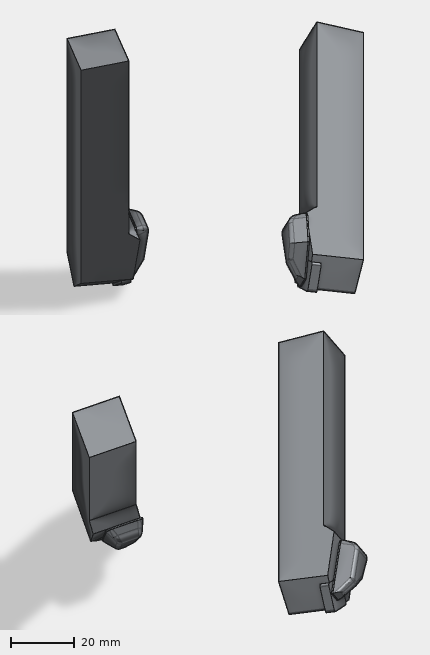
import cadquery as cq
import math

overall_height = 101.4
shank_size = 15.8
neck_top_z = 28.1
neck_bottom_z = 24.6

head_tilt = 8.0
tip_y = 16.0
nose_setback = 0.8
nose_radius = 0.6

insert_side = 9.5
insert_thickness = 3.1
insert_corner_radius = 0.8

clamp_skirt_height = 0.5
clamp_height = 5.6
clamp_front = 4.3
clamp_foot_back = 25.1
clamp_foot = [
    (-0.4, clamp_front), (3.9, clamp_front),
    (3.5, clamp_foot_back), (-9.3, clamp_foot_back), (-7.1, 14.1),
]
clamp_crown = [
    (-0.3, 7.5), (1.2, 7.5),
    (0.9, clamp_foot_back), (-7.1, clamp_foot_back), (-5.2, 14.2),
]
back_corners = slice(2, 4)
clamp_corner_radius = 2.3
clamp_edge_radius = 1.6

ramp_bottom = (clamp_front, 1.8)
ramp_top = (10.3, clamp_height)
back_edge = (24.2, clamp_height)
back_wall_foot = (25.0, 0)
clamp_profile = [(clamp_front, 0), ramp_bottom, ramp_top, back_edge, back_wall_foot]
clamp_back_radius = 3.1

tilt = math.radians(head_tilt)
neck_bottom_y = tip_y + neck_bottom_z * math.tan(tilt)


def head_plane(height=0.0):
    """Plane parallel to the head face: X across, Y up the face, normal outwards."""
    normal = cq.Vector(0, math.cos(tilt), -math.sin(tilt))
    origin = cq.Vector(0, tip_y, 0) + normal * height
    return cq.Plane(origin=origin, xDir=(-1, 0, 0), normal=normal)


def point_on_head(x, up, height):
    """World point at x, this far up the head face and this high above it."""
    return head_plane(height).toWorldCoords((-x, up)).toTuple()


def face_points(points):
    """Turn (x, up) points into head plane coordinates, whose X axis points to -X."""
    return [(-x, up) for x, up in points]


def make_insert():
    """Square plate with rounded corners, its lowest corner being the cutting tip."""
    corner_loss = insert_corner_radius * (math.sqrt(2) - 1)
    half_diagonal = insert_side / math.sqrt(2)
    return (
        cq.Workplane(head_plane())
        .center(0, half_diagonal - corner_loss)
        .transformed(rotate=(0, 0, 45))
        .rect(insert_side, insert_side)
        .extrude(-insert_thickness)
        .edges(cq.selectors.ParallelDirSelector(head_plane().zDir))
        .fillet(insert_corner_radius)
    )


def make_holder_bar():
    """Shank and flared head, cut to a rounded 90 degree point square to the head face."""
    half_width = shank_size / 2
    bar = (
        cq.Workplane("YZ")
        .polyline([
            (0, 0), (tip_y, 0), (neck_bottom_y, neck_bottom_z),
            (shank_size, neck_top_z), (shank_size, overall_height), (0, overall_height),
        ])
        .close()
        .extrude(half_width, both=True)
    )
    reach = 2 * overall_height
    point = (
        cq.Workplane(head_plane(-overall_height))
        .polyline([(0, nose_setback), (reach, nose_setback + reach), (-reach, nose_setback + reach)])
        .close()
        .extrude(reach)
        .edges(cq.selectors.NearestToPointSelector((0, tip_y, nose_setback)))
        .fillet(nose_radius)
    )
    return bar.intersect(point)


def outline(points, height):
    """Closed outline of (x, up) points in the plane at this height above the head face."""
    return cq.Workplane(head_plane(height)).polyline(face_points(points)).close()


def round_back_corners(block, corners, height):
    """Round the edges that pass through these (x, up) corners at this height."""
    for x, up in corners:
        on_edge = point_on_head(x, up, height)
        block = block.edges(cq.selectors.NearestToPointSelector(on_edge)).fillet(clamp_corner_radius)
    return block


def make_clamp_profile():
    """Wide bar with the clamp's side profile: ramp towards the tip, flat top, rounded back."""
    side_plane = cq.Plane(
        origin=(-shank_size, tip_y, 0), xDir=(0, math.sin(tilt), math.cos(tilt)), normal=(1, 0, 0)
    )
    on_back_edge = point_on_head(0, *back_edge)
    return (
        cq.Workplane(side_plane)
        .polyline([(up, -height) for up, height in clamp_profile]).close()
        .extrude(2 * shank_size)
        .edges(cq.selectors.NearestToPointSelector(on_back_edge))
        .fillet(clamp_back_radius)
    )


def make_clamp():
    """Straight skirt under a tapered block with rounded edges and a ramp towards the tip."""
    skirt = outline(clamp_foot, 0).extrude(clamp_skirt_height)
    skirt = round_back_corners(skirt, clamp_foot[back_corners], clamp_skirt_height / 2)

    foot_wire = outline(clamp_foot, clamp_skirt_height).val()
    crown_wire = outline(clamp_crown, clamp_height).val()
    block = cq.Workplane(cq.Solid.makeLoft([foot_wire, crown_wire], True))
    middle = [
        ((foot_x + crown_x) / 2, (foot_up + crown_up) / 2)
        for (foot_x, foot_up), (crown_x, crown_up)
        in zip(clamp_foot[back_corners], clamp_crown[back_corners])
    ]
    block = round_back_corners(block, middle, (clamp_skirt_height + clamp_height) / 2)
    block = block.intersect(make_clamp_profile())
    ramp_middle = [(low + high) / 2 for low, high in zip(ramp_bottom, ramp_top)]
    on_ramp = point_on_head(0, *ramp_middle)
    ramp_sides = block.faces(cq.selectors.NearestToPointSelector(on_ramp)).edges("not |X")
    top = block.faces(cq.selectors.DirectionMinMaxSelector(head_plane().zDir, True))
    block = ramp_sides.add(top.edges()).fillet(clamp_edge_radius)
    return skirt.union(block)


insert = make_insert()
holder = make_holder_bar().cut(insert).union(make_clamp())
result = cq.Compound.makeCompound([holder.val(), insert.val()])